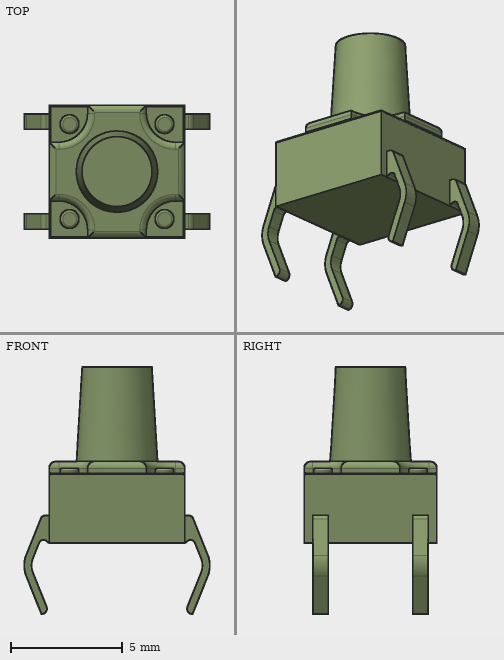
import cadquery as cq
import math

total_height = 11.13
lead_depth = 3.19
total_width = 8.37

body_x = 6.12
body_y = 5.99
body_height = 3.1

spacer_inset = 0.07
spacer_height = 0.06
spacer_top = body_height + spacer_height

cover_top = 3.68
cover_fillet = 0.31
notch_radius = 1.3
notch_center = 2.63

peg_diameter = 0.85
peg_position = 2.14
peg_height = 0.22
peg_fillet = 0.11

button_base_diameter = 3.66
button_top_diameter = 3.15
button_top = total_height - lead_depth

lead_width = 0.7
lead_y = 2.25
lead_thickness = 0.35
lead_angle = math.radians(21.8)
lead_top = 1.26
bend_z = -1.0
bend_outer_radius = 1.25
bend_inner_radius = bend_outer_radius - lead_thickness
crotch_z = 0.28
shoulder_radius = 0.23
crotch_radius = 0.2
tip_radius = 0.25
lead_overlap = 0.11


def corners(offset):
    """The four points at +/- offset in X and Y."""
    return [(x, y) for x in (-offset, offset) for y in (-offset, offset)]


def make_body():
    body = cq.Workplane("XY").box(body_x, body_y, body_height, centered=(True, True, False))
    spacer = cq.Workplane("XY").box(
        body_x - 2 * spacer_inset, body_y - 2 * spacer_inset, spacer_top, centered=(True, True, False)
    )
    return body.union(spacer)


def make_cover():
    """Plate with a rounded notch in each corner and a rolled top rim."""
    thickness = cover_top - spacer_top
    cover = (
        cq.Workplane("XY", origin=(0, 0, spacer_top))
        .rect(body_x, body_y)
        .extrude(thickness)
    )
    notch_size = 2 * notch_radius
    for x, y in corners(notch_center):
        toward_x = math.copysign(notch_radius, x)
        toward_y = math.copysign(notch_radius, y)
        plane = cq.Workplane("XY", origin=(x, y, spacer_top))
        notch = (
            plane.circle(notch_radius).extrude(thickness)
            .union(plane.center(toward_x, 0).rect(notch_size, notch_size).extrude(thickness))
            .union(plane.center(0, toward_y).rect(notch_size, notch_size).extrude(thickness))
        )
        cover = cover.cut(notch)
    return cover.faces(">Z").edges().fillet(cover_fillet)


def make_pegs():
    return (
        cq.Workplane("XY", origin=(0, 0, spacer_top))
        .pushPoints(corners(peg_position))
        .circle(peg_diameter / 2)
        .extrude(peg_height)
        .faces(">Z")
        .edges()
        .fillet(peg_fillet)
    )


def make_button():
    return (
        cq.Workplane("XY", origin=(0, 0, spacer_top))
        .circle(button_base_diameter / 2)
        .extrude(cover_top - spacer_top)
        .faces(">Z")
        .workplane()
        .circle(button_base_diameter / 2)
        .workplane(offset=button_top - cover_top)
        .circle(button_top_diameter / 2)
        .loft(combine=True)
    )


def rounded_outline(points):
    """Closed XZ outline from (x, z, corner radius); a zero radius leaves a sharp corner."""
    outline = None
    for i, (x, z, radius) in enumerate(points):
        here = cq.Vector(x, z)
        before = cq.Vector(*points[i - 1][:2])
        after = cq.Vector(*points[(i + 1) % len(points)][:2])
        to_before = (before - here).normalized()
        to_after = (after - here).normalized()
        half_angle = to_before.getAngle(to_after) / 2
        setback = radius / math.tan(half_angle)
        start = here + to_before * setback
        end = here + to_after * setback
        if outline is None:
            outline = cq.Workplane("XZ").moveTo(start.x, start.y)
        else:
            outline = outline.lineTo(start.x, start.y)
        if radius > 0:
            bisector = (to_before + to_after).normalized()
            middle = here + bisector * (radius / math.sin(half_angle) - radius)
            outline = outline.threePointArc((middle.x, middle.y), (end.x, end.y))
    return outline.close()


def make_lead():
    """Front lead on the +X side."""
    sharpness = 1 / math.cos(lead_angle) - 1
    outer_bend_x = total_width / 2 + bend_outer_radius * sharpness
    inner_bend_x = total_width / 2 - lead_thickness + bend_inner_radius * sharpness

    def arm_x(bend_x, z):
        return bend_x - abs(z - bend_z) * math.tan(lead_angle)

    root_x = body_x / 2 - lead_overlap
    points = [
        (root_x, 0, 0),
        (root_x, lead_top, 0),
        (arm_x(outer_bend_x, lead_top), lead_top, shoulder_radius),
        (outer_bend_x, bend_z, bend_outer_radius),
        (arm_x(outer_bend_x, -lead_depth), -lead_depth, 0),
        (arm_x(inner_bend_x, -lead_depth), -lead_depth, tip_radius),
        (inner_bend_x, bend_z, bend_inner_radius),
        (arm_x(inner_bend_x, crotch_z), crotch_z, crotch_radius),
        (body_x / 2, 0, 0),
    ]
    lead = rounded_outline(points).extrude(lead_width / 2, both=True)
    return lead.translate((0, -lead_y, 0))


def make_leads():
    front_right = make_lead()
    right = front_right.union(front_right.mirror("XZ"))
    return right.union(right.mirror("YZ"))


result = make_body().union(make_cover()).union(make_pegs()).union(make_button()).union(make_leads())